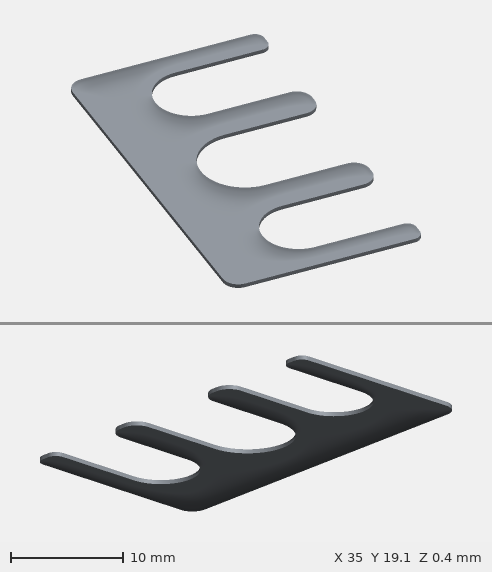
import cadquery as cq

length = 35.05
depth = 19.05
thickness = 0.4

slot_depth_to_centre = 9.55
centre_slot_width = 8.62
side_slot_width = 7.05
side_slot_offset = 11.43

base_corner_radius = 1.5
inner_prong_radius = 1.5
outer_prong_radius = 0.9

back_y = depth / 2
slot_centre_y = back_y - slot_depth_to_centre
side_slot_outer_x = side_slot_offset + side_slot_width / 2


def make_slot(centre_x, width):
    """Round-ended cutter that opens through the back edge."""
    straight = (
        cq.Workplane("XY")
        .center(centre_x, slot_centre_y + slot_depth_to_centre / 2)
        .rect(width, slot_depth_to_centre)
        .extrude(thickness)
    )
    round_end = (
        cq.Workplane("XY")
        .center(centre_x, slot_centre_y)
        .circle(width / 2)
        .extrude(thickness)
    )
    return straight.union(round_end)


def back_corners(x_min, x_max):
    """Selector for the upright back edges between two X positions."""
    margin = 0.18
    return cq.selectors.BoxSelector(
        (x_min - margin, back_y - margin, -margin),
        (x_max + margin, back_y + margin, thickness + margin),
    )


plate = cq.Workplane("XY").box(length, depth, thickness, centered=(True, True, False))

slots = (
    (-side_slot_offset, side_slot_width),
    (0, centre_slot_width),
    (side_slot_offset, side_slot_width),
)
for slot_x, slot_width in slots:
    plate = plate.cut(make_slot(slot_x, slot_width))

plate = plate.edges("|Z and <Y").fillet(base_corner_radius)

inner_prong = (centre_slot_width / 2, side_slot_offset - side_slot_width / 2)
outer_prong = (side_slot_outer_x, length / 2)
prongs = (
    (*inner_prong, inner_prong_radius),
    (*outer_prong, outer_prong_radius),
)
for near_x, far_x, radius in prongs:
    plate = plate.edges("|Z").edges(back_corners(near_x, far_x)).fillet(radius)
    plate = plate.edges("|Z").edges(back_corners(-far_x, -near_x)).fillet(radius)

result = plate